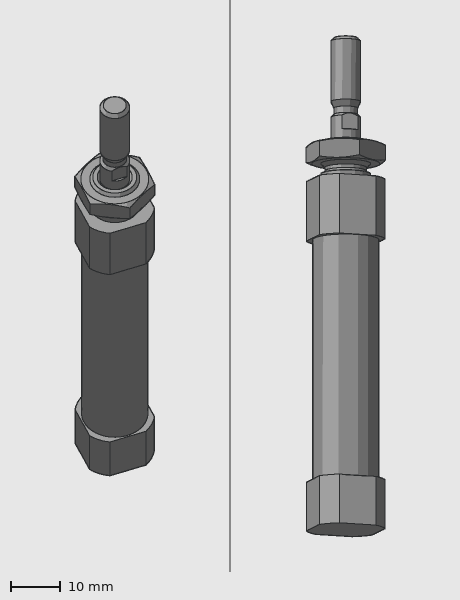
import cadquery as cq
import math

total_height = 100.2
rear_cap_top = 9.9
front_cap_bottom = 59.0
front_cap_top = 71.1

cap_diameter = 16.0
cap_across_flats = 14.0
tube_diameter = 13.3
collar_diameter = 10.0
collar_top = front_cap_top + 1.3
relief_diameter = 8.4
relief_bottom = collar_top + 0.6
relief_top = relief_bottom + 0.7
relief_shoulder_diameter = 8.9
neck_thread_diameter = 10.0
neck_top = 79.2
neck_chamfer = 0.6

rod_diameter = 6.0
rod_end_chamfer = 0.7
rod_thread_bottom = 87.2
undercut_diameter = 4.8
undercut_top = 85.9
undercut_bottom = 84.6
rod_shoulder_chamfer = (rod_diameter - undercut_diameter) / 2
rod_across_flats = 5.0
wrench_flat_bottom = 81.2
bore_mouth_diameter = 7.0
bore_mouth_chamfer = (bore_mouth_diameter - rod_diameter) / 2

nut_across_flats = 14.0
nut_across_corners = nut_across_flats / math.cos(math.radians(30))
nut_bottom = 74.5
nut_height = 4.0
nut_face_diameter = 13.6
nut_chamfer_angle = 20.0


def revolve_profile(points):
    """Revolve a closed (radius, z) outline about the Z axis."""
    return cq.Workplane("XZ").polyline(points).close().revolve(360, (0, 0), (0, 1))


def cylinder(diameter, bottom, top):
    return cq.Workplane("XY").workplane(offset=bottom).circle(diameter / 2).extrude(top - bottom)


def make_cap(bottom, top):
    """Round cap with four flats."""
    square = (
        cq.Workplane("XY").workplane(offset=bottom)
        .rect(cap_across_flats, cap_across_flats).extrude(top - bottom)
    )
    return cylinder(cap_diameter, bottom, top).intersect(square)


def make_neck():
    """Collar, thread relief and threaded neck above the front cap."""
    thread_radius = neck_thread_diameter / 2
    relief_radius = relief_diameter / 2
    return revolve_profile([
        (0, front_cap_top),
        (collar_diameter / 2, front_cap_top),
        (collar_diameter / 2, collar_top),
        (relief_shoulder_diameter / 2, collar_top),
        (relief_radius, relief_bottom),
        (relief_radius, relief_top),
        (thread_radius, relief_top + thread_radius - relief_radius),
        (thread_radius, neck_top - neck_chamfer),
        (thread_radius - neck_chamfer, neck_top),
        (0, neck_top),
    ])


def make_rod_bore():
    """Blind rod bore with a countersunk mouth."""
    rod_radius = rod_diameter / 2
    return revolve_profile([
        (0, front_cap_bottom),
        (rod_radius, front_cap_bottom),
        (rod_radius, neck_top - bore_mouth_chamfer),
        (bore_mouth_diameter / 2, neck_top),
        (0, neck_top),
    ])


def make_housing():
    return (
        make_cap(0, rear_cap_top)
        .union(cylinder(tube_diameter, rear_cap_top, front_cap_bottom))
        .union(make_cap(front_cap_bottom, front_cap_top))
        .union(make_neck())
        .cut(make_rod_bore())
    )


def make_rod():
    """Piston rod with a threaded end, an undercut and two wrench flats."""
    rod_radius = rod_diameter / 2
    undercut_radius = undercut_diameter / 2
    rod = revolve_profile([
        (0, front_cap_bottom),
        (rod_radius, front_cap_bottom),
        (rod_radius, undercut_bottom - rod_shoulder_chamfer),
        (undercut_radius, undercut_bottom),
        (undercut_radius, undercut_top),
        (rod_radius, rod_thread_bottom),
        (rod_radius, total_height - rod_end_chamfer),
        (rod_radius - rod_end_chamfer, total_height),
        (0, total_height),
    ])
    flat_height = undercut_bottom - wrench_flat_bottom
    for side in (-1, 1):
        flat_cutter = cq.Workplane("XY").box(
            rod_diameter, rod_diameter, flat_height, centered=(True, True, False)
        ).translate((side * (rod_across_flats + rod_diameter) / 2, 0, wrench_flat_bottom))
        rod = rod.cut(flat_cutter)
    return rod


def make_nut():
    """Hexagon nut with corners on the X axis, chamfered on both faces."""
    nut_top = nut_bottom + nut_height
    face_radius = nut_face_diameter / 2
    corner_radius = nut_across_corners / 2
    chamfer_drop = (corner_radius - face_radius) * math.tan(math.radians(nut_chamfer_angle))
    hexagon = (
        cq.Workplane("XY").workplane(offset=nut_bottom)
        .polygon(6, nut_across_corners).extrude(nut_height)
    )
    chamfer_envelope = revolve_profile([
        (0, nut_bottom),
        (face_radius, nut_bottom),
        (corner_radius, nut_bottom + chamfer_drop),
        (corner_radius, nut_top - chamfer_drop),
        (face_radius, nut_top),
        (0, nut_top),
    ])
    hole = cylinder(neck_thread_diameter, nut_bottom, nut_top)
    return hexagon.intersect(chamfer_envelope).cut(hole)


housing = make_housing()
rod = make_rod()
nut = make_nut()

result = cq.Compound.makeCompound([housing.val(), rod.val(), nut.val()])